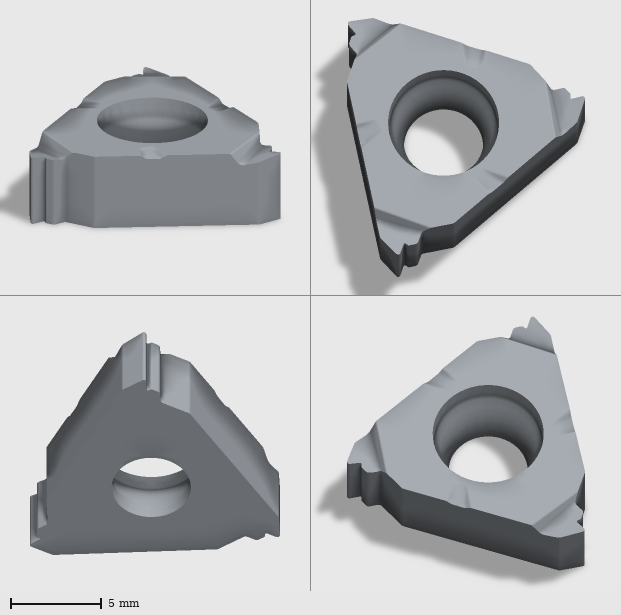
import cadquery as cq
import math

thickness = 4.33
turns = (0, 120, 240)

side_distance = 4.76
shoulder_distance = 5.85
crest_distance = 6.48
flank_distance = 6.96
secondary_flank_y = 0.8
main_flank_y = 0.08
secondary_crest_end_y = 0.36
root_x = 7.17

body_edge_radius = 0.28
secondary_root_radius = 0.22
secondary_tip_radius = 0.24
secondary_crest_end_radius = 0.12
root_radius = 0.08
tip_radius = 0.14

hole_diameter = 4.4
counterbore_diameter = 6.16
counterbore_depth = 1.01
counterbore_narrowing = 0.08
counterbore_fillet = 0.55
seat_radius = 4.16

rake_corner_x = 6.37
rake_corner_depth = 0.6
rake_slope = 9.4
rake_wall_slope = 57.5
rake_tilt = 4.8
rake_yaw = 0.9
rake_root_radius = 0.35
rake_edge_radius = 0.14
rake_reach = 2.77

notch_depth = 0.21
notch_length = 1.25
notch_floor_width = 0.8
notch_wall_run = 0.3
notch_offset = 0.22
notch_angle = 15
notch_floor_radius = 0.32
notch_edge_radius = 0.22


def turned(point, degrees):
    """Turn a plan point about the axis of the insert."""
    angle = math.radians(degrees)
    x, y = point
    return (x * math.cos(angle) - y * math.sin(angle), x * math.sin(angle) + y * math.cos(angle))


def meet(face_1, face_2):
    """Plan point where two faces meet, each given by its distance and outward direction."""
    distance_1, direction_1 = face_1
    distance_2, direction_2 = face_2
    a1 = math.radians(direction_1)
    a2 = math.radians(direction_2)
    scale = math.sin(a2 - a1)
    x = (distance_1 * math.sin(a2) - distance_2 * math.sin(a1)) / scale
    y = (distance_2 * math.cos(a1) - distance_1 * math.cos(a2)) / scale
    return (x, y)


def spun(solid, degrees):
    """Turn a solid about the axis of the insert."""
    return solid.rotate((0, 0, 0), (0, 0, 1), degrees)


upper_side = (side_distance, 60)
shoulder = (shoulder_distance, 30)
secondary_flank = (secondary_flank_y, 90)
secondary_crest = (crest_distance, 30)
main_flank = (main_flank_y, 90)
outer_flank = (flank_distance, -30)
lower_side = (side_distance, -60)

corner = [
    (meet(upper_side, shoulder), body_edge_radius),
    (meet(shoulder, secondary_flank), secondary_root_radius),
    (meet(secondary_crest, secondary_flank), secondary_tip_radius),
    (meet(secondary_crest, (secondary_crest_end_y, 90)), secondary_crest_end_radius),
    ((root_x, main_flank_y), root_radius),
    (meet(outer_flank, main_flank), tip_radius),
    (meet(outer_flank, lower_side), body_edge_radius),
]


def make_body():
    vertices = []
    for turn in reversed(turns):
        vertices += [(turned(point, turn), radius) for point, radius in corner]
    body = cq.Workplane("XY").polyline([point for point, _ in vertices]).close().extrude(thickness)
    for (x, y), radius in vertices:
        edge = cq.selectors.NearestToPointSelector((x, y, thickness / 2))
        body = body.edges(edge).fillet(radius)
    return body


def make_hole():
    hole_radius = hole_diameter / 2
    top_radius = counterbore_diameter / 2
    bore_radius = top_radius - counterbore_narrowing

    taper = math.atan2(counterbore_narrowing, counterbore_depth)
    fillet_centre_radius = bore_radius - counterbore_fillet * math.cos(taper)
    seat_centre_radius = hole_radius + seat_radius
    centre_distance = seat_radius + counterbore_fillet
    sweep = math.acos((seat_centre_radius - fillet_centre_radius) / centre_distance)

    bore_end_z = thickness - counterbore_depth
    fillet_centre_z = bore_end_z + counterbore_fillet * math.sin(taper)
    seat_end_z = fillet_centre_z - centre_distance * math.sin(sweep)

    def on_fillet(angle):
        return (fillet_centre_radius + counterbore_fillet * math.cos(angle),
                fillet_centre_z - counterbore_fillet * math.sin(angle))

    def on_seat(angle):
        return (seat_centre_radius - seat_radius * math.cos(angle),
                seat_end_z + seat_radius * math.sin(angle))

    return (
        cq.Workplane("XZ")
        .moveTo(0, thickness)
        .lineTo(top_radius, thickness)
        .lineTo(bore_radius, bore_end_z)
        .threePointArc(on_fillet((taper + sweep) / 2), on_fillet(sweep))
        .threePointArc(on_seat(sweep / 2), (hole_radius, seat_end_z))
        .lineTo(hole_radius, 0)
        .lineTo(0, 0)
        .close()
        .revolve(360, (0, 0), (0, 1))
    )


def make_rake_cutter():
    floor_rise = rake_reach * math.tan(math.radians(rake_slope))
    wall_run = rake_reach / math.tan(math.radians(rake_wall_slope))
    cutter = (
        cq.Workplane("XZ")
        .polyline([(0, 0), (rake_reach, floor_rise), (rake_reach, rake_reach), (-wall_run, rake_reach)])
        .close()
        .extrude(2 * rake_reach, both=True)
        .edges(cq.selectors.NearestToPointSelector((0, 0, 0)))
        .fillet(rake_root_radius)
    )
    cutter = spun(cutter.rotate((0, 0, 0), (1, 0, 0), rake_tilt), rake_yaw)
    return cutter.translate((rake_corner_x, 0, thickness - rake_corner_depth))


def make_notch_cutter():
    """Trapezoid groove on the -X side, its floor rising to the top face at the inner end."""
    floor_half = notch_floor_width / 2
    cutter_height = 2 * notch_depth
    top_half = floor_half + 2 * notch_wall_run
    cutter = (
        cq.Workplane("YZ")
        .polyline([(-floor_half, 0), (floor_half, 0), (top_half, cutter_height), (-top_half, cutter_height)])
        .close()
        .extrude(2 * notch_length, both=True)
        .edges("|X and <Z")
        .fillet(notch_floor_radius)
    )
    rise = math.degrees(math.atan2(notch_depth, notch_length))
    cutter = spun(cutter.rotate((0, 0, 0), (0, 1, 0), -rise), notch_angle)
    return cutter.translate((-side_distance, notch_offset, thickness - notch_depth))


result = make_body().cut(make_hole())
rake_cutter = make_rake_cutter()
notch_cutter = make_notch_cutter()
for turn in turns:
    result = result.cut(spun(rake_cutter, turn))
    result = result.cut(spun(notch_cutter, turn))

rake_wall_run = rake_corner_depth / math.tan(math.radians(rake_wall_slope))
rake_edge = (rake_corner_x - rake_wall_run, 0)
notch_edge = (notch_length / 2 - side_distance, notch_offset + notch_floor_width / 2 + notch_wall_run)
for turn in turns:
    for edge_point, edge_radius in ((rake_edge, rake_edge_radius), (notch_edge, notch_edge_radius)):
        point = (*turned(edge_point, turn), thickness)
        result = result.edges(cq.selectors.NearestToPointSelector(point)).fillet(edge_radius)